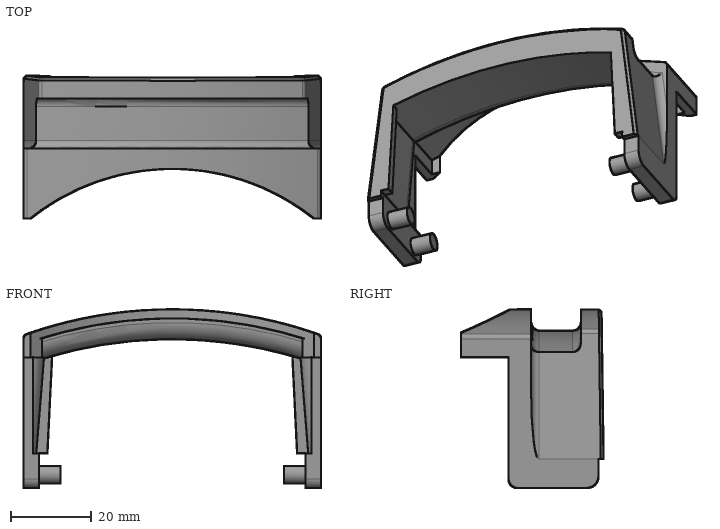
import cadquery as cq
import math

half_width = 37.2
height = 44.7
arch_radius = 109.8
top_corner_radius = 1.35

lip_wall_back = 2.15
lip_thickness = 2.3
lip_bottom = 32.7
front_cut_half_width = 35.4
front_cut_depth = 12.4
leg_front = 11.9
leg_back = 34.45
leg_inner_half_width = 34.8
foot_inner_half_width = 33.3
foot_height = 8.7
foot_front_radius = 2.2
foot_back_radius = 3.0

groove_front = 17.6
groove_back = 30.0
groove_floor = 39.45
groove_fillet = 2.0
taper_bottom = 7.2
floor_half_width = 34.0
floor_edge_height = 34.15
taper_slope = (half_width - floor_half_width) / (floor_edge_height - taper_bottom)

shell_front = 15.3
ceiling = 37.2
shell_fillet = 4.2
shell_inner_top = 32.1
shell_inner_bottom = 34.7
flange_front = 33.35
flange_inner_top = 30.0
flange_inner_bottom = 31.2
flange_side_top = 39.5
back_top = 35.2
back_bottom = 35.7
back_edge_chamfer = 0.75

pin_diameter = 4.5
pin_height = 3.35
pin_tip = 27.9
pin_positions = (15.85, 29.55)

margin = 7.45


def arch_height(apex, x):
    """Height of the arch at x when its crown is at apex."""
    return apex - arch_radius + math.sqrt(arch_radius**2 - x**2)


def arched_prism(apex, top_half, bottom_half, bottom, y_start, y_end):
    """Symmetric prism along Y with straight sides and an arched top."""
    side_top = arch_height(apex, top_half)
    return (
        cq.Workplane("XZ", origin=(0, y_start, 0))
        .moveTo(-bottom_half, bottom)
        .lineTo(-top_half, side_top)
        .threePointArc((0, apex), (top_half, side_top))
        .lineTo(bottom_half, bottom)
        .close()
        .extrude(y_start - y_end)
    )


def span_box(half, y_start, y_end, bottom, top):
    """Box centred in X between the given Y and Z limits."""
    base = cq.Workplane("XY", origin=(0, y_start, bottom))
    return base.box(2 * half, y_end - y_start, top - bottom, centered=(True, False, False))


def fillet_near(body, points, radius):
    """Fillet the edge whose centre is nearest to each of the points."""
    edges = [body.edges(cq.selectors.NearestToPointSelector(point)).val() for point in points]
    return body.newObject(edges).fillet(radius)


def tapered_half_width(z):
    """Half width between the leaning side walls at height z."""
    return half_width - taper_slope * (z - taper_bottom)


def leaning_prism(apex, y_start, y_end):
    """Arched prism whose sides follow the leaning side walls."""
    top_half = tapered_half_width(height)
    sides = (
        cq.Workplane("XZ", origin=(0, y_start, 0))
        .polyline(
            [(-half_width, taper_bottom), (-top_half, height), (top_half, height), (half_width, taper_bottom)]
        )
        .close()
        .extrude(y_start - y_end)
    )
    return sides.intersect(arched_prism(apex, half_width, half_width, taper_bottom, y_start, y_end))


def outer_block():
    """Arched block with rounded shoulders and feet, cut away below the lip."""
    block = arched_prism(height, half_width, half_width, 0, 0, back_bottom)
    shoulder = arch_height(height, half_width)
    shoulder_points = [(x, back_bottom / 2, shoulder) for x in (-half_width, half_width)]
    block = fillet_near(block, shoulder_points, top_corner_radius)
    block = block.cut(span_box(half_width + margin, -margin, leg_front, -margin, lip_bottom))
    block = block.cut(span_box(half_width + margin, leg_back, back_bottom + margin, -margin, taper_bottom))
    block = fillet_near(block, [(0, leg_front, 0)], foot_front_radius)
    return fillet_near(block, [(0, leg_back, 0)], foot_back_radius)


def groove_tool():
    """Material removed outside the groove floor, the leaning sides and the back flange."""
    end = back_bottom + margin
    tool = span_box(half_width + margin, groove_front, end, taper_bottom, height + margin)
    core = leaning_prism(groove_floor, groove_front, end)
    flange_half = tapered_half_width(flange_side_top)
    flange = leaning_prism(height, groove_back, end)
    shoulder = arch_height(height, flange_half)
    shoulder_points = [(x, (groove_back + end) / 2, shoulder) for x in (-flange_half, flange_half)]
    flange = fillet_near(flange, shoulder_points, top_corner_radius)
    tool = tool.cut(core.union(flange))
    side_z = (taper_bottom + floor_edge_height) / 2
    side_x = tapered_half_width(side_z)
    points = [(0, groove_front, groove_floor), (0, groove_back, groove_floor)]
    points += [(x, groove_front, side_z) for x in (-side_x, side_x)]
    return fillet_near(tool, points, groove_fillet)


def back_tool():
    """Leaning back face, from the foot of the groove to the crown."""
    outline = [
        (back_bottom, taper_bottom),
        (back_top, height),
        (back_top, height + margin),
        (back_bottom + margin, height + margin),
        (back_bottom + margin, taper_bottom),
    ]
    return cq.Workplane("YZ", origin=(-half_width, 0, 0)).polyline(outline).close().extrude(2 * half_width)


def shell_wall():
    """Solid around the inside of the groove shell, with a rounded front edge."""
    wall = span_box(half_width, shell_front, flange_front, 0, height)
    wall = wall.cut(arched_prism(ceiling, shell_inner_top, shell_inner_bottom, 0, shell_front, flange_front))
    side_z = lip_bottom / 2
    points = [(0, shell_front, ceiling)]
    points += [(x, shell_front, side_z) for x in (-shell_inner_top, shell_inner_top)]
    return fillet_near(wall, points, shell_fillet)


def cavity():
    """Stepped hollow under the arch, open at the front, back and bottom."""
    roof = height - lip_thickness
    front = arched_prism(roof, leg_inner_half_width, leg_inner_half_width, foot_height, lip_wall_back, flange_front)
    flange = arched_prism(
        ceiling, flange_inner_top, flange_inner_bottom, foot_height, flange_front, back_bottom + margin
    )
    feet = span_box(foot_inner_half_width, 0, back_bottom + margin, -margin, foot_height)
    return front.cut(shell_wall()).union(flange).union(feet)


def front_cut():
    """Round scoop through the front lip."""
    radius = (front_cut_half_width**2 + front_cut_depth**2) / (2 * front_cut_depth)
    return cq.Workplane("XY").center(0, front_cut_depth - radius).circle(radius).extrude(height + margin)


def pin(side, y):
    """Pin pointing inwards from the foot on the given side."""
    base = side * foot_inner_half_width
    return (
        cq.Workplane("YZ", origin=(base, 0, 0))
        .center(y, pin_height)
        .circle(pin_diameter / 2)
        .extrude(side * (pin_tip - foot_inner_half_width))
    )


shaped_block = outer_block().cut(groove_tool()).cut(back_tool())
back_edges = shaped_block.faces(">Y").edges("not <Z")
shaped_block = back_edges.chamfer(back_edge_chamfer)
result = shaped_block.cut(cavity()).cut(front_cut())
for side in (-1, 1):
    for y in pin_positions:
        result = result.union(pin(side, y))